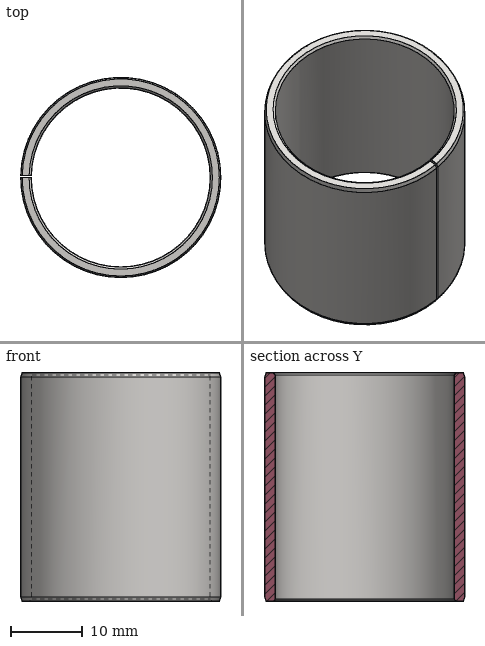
import cadquery as cq

length = 32.0
outer_diameter = 28.0
wall = 1.5
outer_chamfer_height = 0.6
outer_chamfer_depth = 0.22
inner_chamfer = 0.32
slit_width = 0.25

outer_radius = outer_diameter / 2
inner_radius = outer_radius - wall
half_length = length / 2


def make_sleeve():
    """Revolve the wall section, with both ends chamfered inside and outside."""
    upper_half = [
        (outer_radius, half_length - outer_chamfer_height),
        (outer_radius - outer_chamfer_depth, half_length),
        (inner_radius + inner_chamfer, half_length),
        (inner_radius, half_length - inner_chamfer),
    ]
    lower_half = [(radius, -z) for radius, z in reversed(upper_half)]
    section = cq.Workplane("XZ").polyline(upper_half + lower_half).close()
    return section.revolve(360, (0, 0, 0), (0, 1, 0))


def make_slit():
    """Full-length cutter from the axis out through the -X wall, with one face on the XZ plane."""
    return cq.Workplane("XY").box(
        outer_diameter, slit_width, length, centered=(True, True, True)
    ).translate((-outer_radius, slit_width / 2, 0))


result = make_sleeve().cut(make_slit())